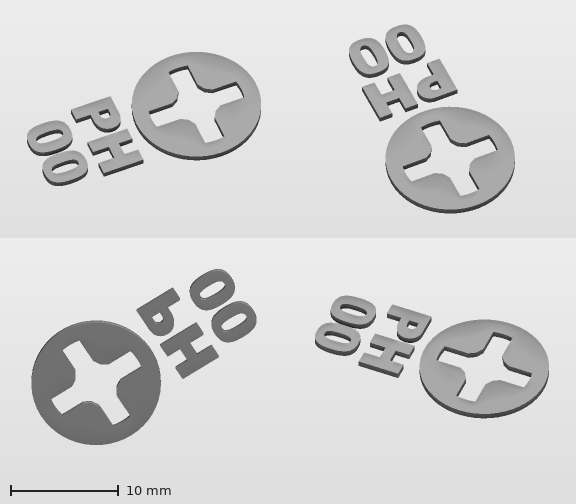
import cadquery as cq

THICKNESS = 0.6
OVERALL_LENGTH = 22.05

DISC_RADIUS = 6.0
CROSS_TIP_RADIUS = 4.5
CROSS_ARM_WIDTH = 1.95
CORNER_START = 2.03
CORNER_APEX = 1.37

LETTER_TOP = -7.0
LETTER_HEIGHT = 3.97
LETTER_BOTTOM = LETTER_TOP - LETTER_HEIGHT
STEM_WIDTH = 1.25
WORD_HALF_WIDTH = 3.95

P_LEFT = -WORD_HALF_WIDTH
P_WIDTH = 3.45
BOWL_HEIGHT = 2.51
BOWL_UPPER_HEIGHT = 1.24
BOWL_UPPER_REACH = 1.28
BOWL_LOWER_REACH = 1.55
BOWL_FULLNESS = 0.6
BOWL_WALL = 0.77
BOWL_HOLE_WIDTH = 0.95
BOWL_HOLE_HEIGHT = 0.95
BOWL_HOLE_REACH = 0.49

H_WIDTH = 3.85
H_BAR_HEIGHT = 1.01
H_UPPER_NOTCH_DEPTH = 1.37
H_BAR_TOP = LETTER_TOP - H_UPPER_NOTCH_DEPTH

ZERO_WIDTH = 3.26
ZERO_HEIGHT = 4.17
ZERO_HOLE_WIDTH = 1.1
ZERO_HOLE_HEIGHT = 2.63
ZERO_PITCH = 3.73
ZERO_FULLNESS = 0.72
ZERO_CENTER_Y = DISC_RADIUS - OVERALL_LENGTH + ZERO_HEIGHT / 2


def quarter_turn(path, start, corner, end, fullness):
    """Add a rounded turn to the path from start to end, leaning towards the corner."""
    handles = [
        tuple(p + fullness * (c - p) for p, c in zip(point, corner))
        for point in (start, end)
    ]
    return path.bezier([start, *handles, end])


def make_disc():
    """Disc with a cross-shaped opening whose arm tips are round and inner corners bevelled."""
    half_arm = CROSS_ARM_WIDTH / 2
    tip_circle = cq.Workplane("XY").circle(CROSS_TIP_RADIUS).extrude(THICKNESS)
    arm_length = 2 * CROSS_TIP_RADIUS
    cross = cq.Workplane("XY").rect(arm_length, CROSS_ARM_WIDTH).extrude(THICKNESS)
    cross = cross.union(cq.Workplane("XY").rect(CROSS_ARM_WIDTH, arm_length).extrude(THICKNESS))
    for x_side in (-1, 1):
        for y_side in (-1, 1):
            corner = (
                cq.Workplane("XY")
                .polyline([
                    (0, 0),
                    (x_side * CORNER_START, 0),
                    (x_side * CORNER_START, y_side * half_arm),
                    (x_side * CORNER_APEX, y_side * CORNER_APEX),
                    (x_side * half_arm, y_side * CORNER_START),
                    (0, y_side * CORNER_START),
                ])
                .close()
                .extrude(THICKNESS)
            )
            cross = cross.union(corner)
    opening = cross.intersect(tip_circle)
    return cq.Workplane("XY").circle(DISC_RADIUS).extrude(THICKNESS).cut(opening)


def make_bowl_shape(left, right, top, middle, bottom, upper_reach, lower_reach):
    """D-shaped plate: straight on the left, rounded on the right, widest at the middle height."""
    upper_start = (right - upper_reach, top)
    lower_end = (right - lower_reach, bottom)
    widest = (right, middle)
    path = cq.Workplane("XY").moveTo(left, bottom).lineTo(left, top).lineTo(*upper_start)
    path = quarter_turn(path, upper_start, (right, top), widest, BOWL_FULLNESS)
    path = quarter_turn(path, widest, (right, bottom), lower_end, BOWL_FULLNESS)
    return path.close().extrude(THICKNESS)


def make_letter_p():
    """Letter P: a full-height stem and a bowl with a D-shaped hole."""
    stem = (
        cq.Workplane("XY")
        .rect(STEM_WIDTH, LETTER_HEIGHT, centered=False)
        .extrude(THICKNESS)
        .translate((P_LEFT, LETTER_BOTTOM, 0))
    )
    bowl = make_bowl_shape(
        left=P_LEFT,
        right=P_LEFT + P_WIDTH,
        top=LETTER_TOP,
        middle=LETTER_TOP - BOWL_UPPER_HEIGHT,
        bottom=LETTER_TOP - BOWL_HEIGHT,
        upper_reach=BOWL_UPPER_REACH,
        lower_reach=BOWL_LOWER_REACH,
    )
    hole_left = P_LEFT + STEM_WIDTH
    hole_top = LETTER_TOP - BOWL_WALL
    hole = make_bowl_shape(
        left=hole_left,
        right=hole_left + BOWL_HOLE_WIDTH,
        top=hole_top,
        middle=hole_top - BOWL_HOLE_HEIGHT / 2,
        bottom=hole_top - BOWL_HOLE_HEIGHT,
        upper_reach=BOWL_HOLE_REACH,
        lower_reach=BOWL_HOLE_REACH,
    )
    return stem.union(bowl).cut(hole)


def make_letter_h():
    """Letter H: a block with a notch above and a notch below the crossbar."""
    left = WORD_HALF_WIDTH - H_WIDTH
    block = (
        cq.Workplane("XY")
        .rect(H_WIDTH, LETTER_HEIGHT, centered=False)
        .extrude(THICKNESS)
        .translate((left, LETTER_BOTTOM, 0))
    )
    notch_width = H_WIDTH - 2 * STEM_WIDTH
    bar_bottom = H_BAR_TOP - H_BAR_HEIGHT
    for bottom, top in ((LETTER_BOTTOM, bar_bottom), (H_BAR_TOP, LETTER_TOP)):
        notch = (
            cq.Workplane("XY")
            .rect(notch_width, top - bottom, centered=False)
            .extrude(THICKNESS)
            .translate((left + STEM_WIDTH, bottom, 0))
        )
        block = block.cut(notch)
    return block


def make_oval(width, height):
    """Squarish oval plate centred on the origin, made of four equal quarter turns."""
    right = width / 2
    top = height / 2
    right_end = (right, 0)
    top_end = (0, top)
    left_end = (-right, 0)
    bottom_end = (0, -top)
    turns = (
        (right_end, (right, top), top_end),
        (top_end, (-right, top), left_end),
        (left_end, (-right, -top), bottom_end),
        (bottom_end, (right, -top), right_end),
    )
    path = cq.Workplane("XY").moveTo(*right_end)
    for start, corner, end in turns:
        path = quarter_turn(path, start, corner, end, ZERO_FULLNESS)
    return path.close().extrude(THICKNESS)


def make_zero(center_x):
    """Digit 0: an oval with an oval hole, at the given X."""
    outside = make_oval(ZERO_WIDTH, ZERO_HEIGHT)
    hole = make_oval(ZERO_HOLE_WIDTH, ZERO_HOLE_HEIGHT)
    return outside.cut(hole).translate((center_x, ZERO_CENTER_Y, 0))


disc = make_disc()
letter_p = make_letter_p()
letter_h = make_letter_h()
zeros = [make_zero(side * ZERO_PITCH / 2) for side in (-1, 1)]

result = cq.Compound.makeCompound([
    disc.val(),
    letter_p.val(),
    letter_h.val(),
    *[zero.val() for zero in zeros],
])